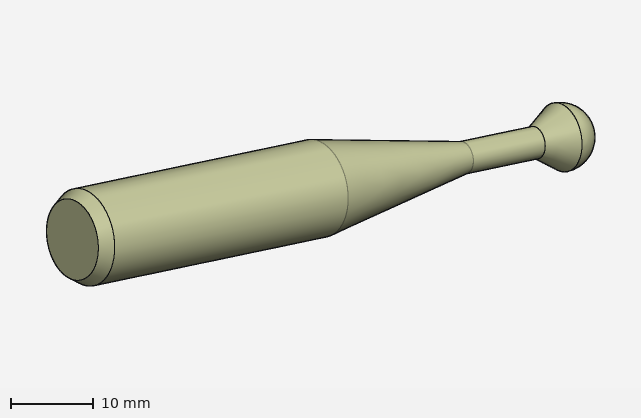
import cadquery as cq
import math

total_length = 80.0

shank_radius = 6.0
chamfer_radial = 1.0
chamfer_angle = 30.0
chamfer_length = chamfer_radial / math.tan(math.radians(chamfer_angle))

ball_radius = 4.25
neck_radius = 2.0
head_cone_angle = 30.0
head_length = ball_radius + (ball_radius - neck_radius) / math.tan(math.radians(head_cone_angle))

taper_end = 42.0
taper_angle = 10.0
taper_length = (shank_radius - neck_radius) / math.tan(math.radians(taper_angle))

equator_y = total_length - ball_radius
neck_top_y = total_length - head_length
shank_top_y = total_length - taper_end
neck_bottom_y = shank_top_y + taper_length


def turned_profile():
    """Half section of the part, between the axis and its outer surface."""
    arc_offset = ball_radius * math.sin(math.radians(45))
    return (
        cq.Workplane("XY")
        .lineTo(shank_radius - chamfer_radial, 0)
        .lineTo(shank_radius, chamfer_length)
        .lineTo(shank_radius, shank_top_y)
        .lineTo(neck_radius, neck_bottom_y)
        .lineTo(neck_radius, neck_top_y)
        .lineTo(ball_radius, equator_y)
        .threePointArc((arc_offset, equator_y + arc_offset), (0, total_length))
        .close()
    )


result = turned_profile().revolve(360, (0, 0, 0), (0, 1, 0))